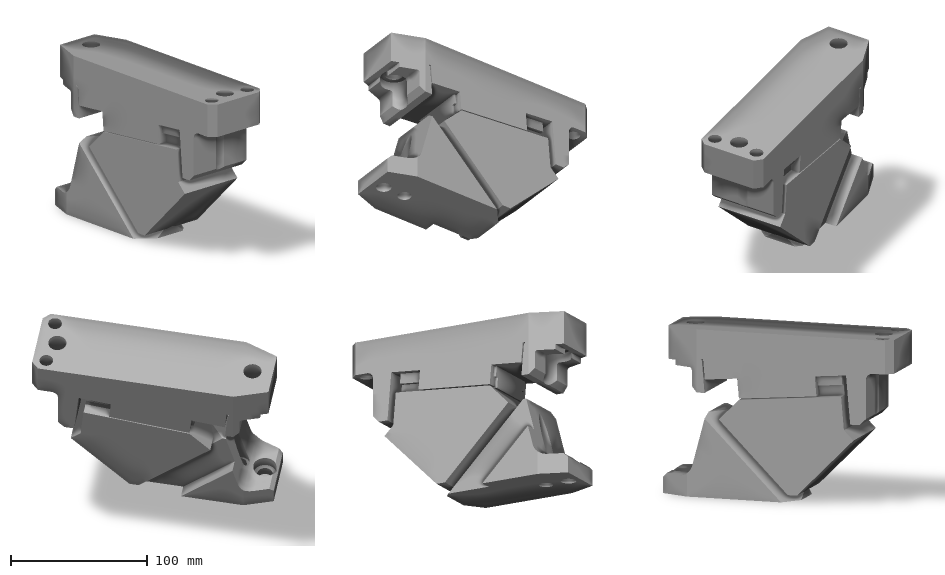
import cadquery as cq
import math


length = 179.0
width = 52.0
height = 125.0
half_width = width / 2
past = 17.9

slide_angle = math.radians(5)
slide_start_x = 34.9
slide_start_z = 87.9

block_front_x = 4.1
block_nose_half = 17.0
block_nose_end_x = 28.6
block_rear_chamfer = 5.2
plate_thickness = 25.0
plate_bottom_z = height - plate_thickness

hook_front_x = 10.0
hook_top_z = 103.0
hook_step_z = 96.0
hook_inner_x = 24.3
hook_bottom_z = 77.9
hook_fillet = 2.0
hook_chamfer = 4.3
slit_gap = 1.0
slit_bevel_width = 1.3
slit_bevel_height = 1.5

pad_start = 25.0
pad_end = 85.0
pad_depth = 14.9
rear_hook_start = 109.2
rear_hook_outer_x = 159.0
rear_hook_bottom_z = 61.0
rear_hook_chamfer = 4.8
rear_hook_fillet = 5.0

nose_hole_x = 19.2
nose_hole_radius = 6.6
nose_recess_radius = 10.2
centre_hole_x = 164.1
centre_hole_radius = 6.6
corner_hole_x = 169.2
corner_hole_y = 17.5
corner_hole_radius = 5.0

tongue_start = 23.3
slider_start = 25.0
slider_end = 104.0
slider_top_depth = 15.8
slider_end_depth = 40.5
slider_lip = 7.3
slider_bottom_z = 5.7
slider_underside_sum = 104.5
neck_half = 18.0
head_half = 21.1
head_height = 7.7
side_clearance = 0.5

base_end_x = 104.7
base_top_x = 35.8
base_top_z = 62.8
base_slope = math.radians(15)
base_nose_half = 18.3
base_nose_end_x = 21.1
foot_height = 15.0
foot_chamfer = 3.0
foot_fillet = 11.3
roof_angle = math.radians(30)
roof_edge_sum = 93.6
notch_width = 9.1
notch_floor_sum = 67.5

foot_hole_x = 9.8
foot_hole_radius = 5.7
foot_recess_radius = 8.6
foot_recess_depth = 8.0
foot_recess_floor_z = foot_height - foot_recess_depth
deep_hole_x = 28.6
deep_hole_radius = 5.2
deep_recess_x = 27.4
deep_recess_radius = 6.0
deep_recess_floor_z = 15.0


def slide_point(along, up):
    """X and Z of a point measured along the slide direction and square to it."""
    x = slide_start_x + along * math.cos(slide_angle) - up * math.sin(slide_angle)
    z = slide_start_z + along * math.sin(slide_angle) + up * math.cos(slide_angle)
    return (x, z)


def slide_wall_point(along, z):
    """Point at height z on the wall square to the slide direction."""
    up = (z - slide_start_z - along * math.sin(slide_angle)) / math.cos(slide_angle)
    return slide_point(along, up)


def extrude_side(profile, depth_half=half_width):
    """Extrude a closed XZ sketch evenly to both sides of the centre plane."""
    return profile.extrude(depth_half, both=True)


def slide_bar(start, end, low, high, bar_half):
    """Bar that follows the slide direction."""
    spots = [(start, low), (end, low), (end, high), (start, high)]
    corners = [slide_point(along, up) for along, up in spots]
    return extrude_side(cq.Workplane("XZ").polyline(corners).close(), bar_half)


def plan_prism(front_x, nose_half, nose_end_x, back_x, back_chamfer=0.0):
    """Upright prism with a tapered nose and, where wanted, chamfered back corners."""
    side = [(front_x, nose_half), (nose_end_x, half_width), (back_x - back_chamfer, half_width)]
    if back_chamfer > 0:
        side.append((back_x, half_width - back_chamfer))
    mirrored = [(x, -y) for x, y in reversed(side)]
    return cq.Workplane("XY").polyline(side + mirrored).close().extrude(height)


def upright_cylinder(x, y, radius, bottom_z, top_z):
    return cq.Workplane("XY", origin=(x, y, bottom_z)).circle(radius).extrude(top_z - bottom_z)


def slope_section():
    """Plane across the 45 degree slope: local X is Y, local Y is the height square to the slope."""
    origin = (-length / 2, 0, length / 2)
    return cq.Workplane(cq.Plane(origin=origin, xDir=(0, 1, 0), normal=(1, 0, -1)))


def slope_height(coordinate_sum):
    return coordinate_sum / math.sqrt(2)


def guide_roof():
    """Everything under the V-shaped guide roof on which the slider rides."""
    reach = half_width + past
    ridge = slope_height(roof_edge_sum) + half_width * math.tan(roof_angle)
    eaves = ridge - reach * math.tan(roof_angle)
    corners = [(-reach, -length), (reach, -length), (reach, eaves), (0, ridge), (-reach, eaves)]
    return slope_section().polyline(corners).close().extrude(2 * length)


def make_upper_block():
    slit_wall_x, slit_wall_z = slide_wall_point(-slit_gap, hook_top_z - slit_bevel_height)
    profile = (
        cq.Workplane("XZ")
        .moveTo(block_front_x, height)
        .lineTo(block_front_x, plate_bottom_z)
        .lineTo(hook_front_x, plate_bottom_z)
        .lineTo(hook_front_x, hook_step_z)
        .lineTo(hook_inner_x - hook_fillet, hook_step_z)
        .tangentArcPoint((hook_inner_x, hook_step_z - hook_fillet), relative=False)
        .lineTo(hook_inner_x, hook_bottom_z + hook_chamfer)
        .lineTo(hook_inner_x + hook_chamfer, hook_bottom_z)
        .lineTo(*slide_wall_point(-slit_gap, hook_bottom_z))
        .lineTo(slit_wall_x, slit_wall_z)
        .lineTo(slit_wall_x - slit_bevel_width, hook_top_z)
        .lineTo(*slide_wall_point(0, hook_top_z))
        .lineTo(*slide_point(0, 0))
        .lineTo(*slide_point(pad_start, 0))
        .lineTo(*slide_point(pad_start, -pad_depth))
        .lineTo(*slide_point(pad_end, -pad_depth))
        .lineTo(*slide_point(pad_end, 0))
        .lineTo(*slide_point(rear_hook_start, 0))
        .lineTo(*slide_wall_point(rear_hook_start, rear_hook_bottom_z))
        .lineTo(rear_hook_outer_x - rear_hook_chamfer, rear_hook_bottom_z)
        .lineTo(rear_hook_outer_x, rear_hook_bottom_z + rear_hook_chamfer)
        .lineTo(rear_hook_outer_x, plate_bottom_z - rear_hook_fillet)
        .tangentArcPoint((rear_hook_outer_x + rear_hook_fillet, plate_bottom_z), relative=False)
        .lineTo(length, plate_bottom_z)
        .lineTo(length, height)
        .close()
    )
    block = extrude_side(profile)
    block = block.intersect(
        plan_prism(block_front_x, block_nose_half, block_nose_end_x, length, block_rear_chamfer)
    )

    slot_neck = slide_bar(pad_start, pad_end, -pad_depth, 0, neck_half + side_clearance)
    slot_head = slide_bar(pad_start, pad_end, -head_height, 0, head_half + side_clearance)
    block = block.cut(slot_neck).cut(slot_head)

    block = block.cut(upright_cylinder(nose_hole_x, 0, nose_hole_radius, 0, height))
    block = block.cut(upright_cylinder(nose_hole_x, 0, nose_recess_radius, 0, hook_top_z))
    block = block.cut(upright_cylinder(centre_hole_x, 0, centre_hole_radius, 0, height))
    for y in (-corner_hole_y, corner_hole_y):
        block = block.cut(upright_cylinder(corner_hole_x, y, corner_hole_radius, 0, height))
    return block


def make_slider():
    top_front = slide_point(slider_start, -slider_top_depth)
    top_back = slide_point(slider_end, -slider_top_depth)
    lip_root = slide_point(slider_end, -slider_end_depth)
    lip_tip = (lip_root[0] + slider_lip, lip_root[1] - slider_lip)
    bottom_back = (lip_tip[0] - (lip_tip[1] - slider_bottom_z), slider_bottom_z)
    bottom_front = (slider_underside_sum - slider_bottom_z, slider_bottom_z)
    front_drop = (sum(top_front) - slider_underside_sum) / 2
    front_tip = (top_front[0] - front_drop, top_front[1] - front_drop)
    outline = [top_front, top_back, lip_root, lip_tip, bottom_back, bottom_front, front_tip]
    slider = extrude_side(cq.Workplane("XZ").polyline(outline).close())
    slider = slider.cut(guide_roof())

    neck = slide_bar(tongue_start, slider_end, -slider_top_depth, 0, neck_half)
    head = slide_bar(tongue_start, slider_end, -head_height, 0, head_half)
    return slider.union(neck).union(head)


def make_base():
    slope_root_x = base_top_x - (base_top_z - foot_height) * math.tan(base_slope)
    tangent = foot_fillet * math.tan((math.pi / 2 - base_slope) / 2)
    fillet_end_x = slope_root_x + tangent * math.sin(base_slope)
    fillet_end_z = foot_height + tangent * math.cos(base_slope)
    profile = (
        cq.Workplane("XZ")
        .moveTo(0, 0)
        .lineTo(0, foot_height - foot_chamfer)
        .lineTo(foot_chamfer, foot_height)
        .lineTo(slope_root_x - tangent, foot_height)
        .tangentArcPoint((fillet_end_x, fillet_end_z), relative=False)
        .lineTo(base_top_x, base_top_z)
        .lineTo(base_end_x, base_top_z)
        .lineTo(base_end_x, 0)
        .close()
    )
    base = extrude_side(profile)
    base = base.intersect(plan_prism(0, base_nose_half, base_nose_end_x, base_end_x))
    base = base.intersect(guide_roof())

    notch_corner = (half_width - notch_width, slope_height(notch_floor_sum))
    notch = slope_section().moveTo(*notch_corner).rect(notch_width + past, length, centered=False)
    base = base.cut(notch.extrude(2 * length))

    base = base.cut(upright_cylinder(foot_hole_x, 0, foot_hole_radius, 0, height))
    base = base.cut(upright_cylinder(foot_hole_x, 0, foot_recess_radius, foot_recess_floor_z, height))

    base = base.cut(upright_cylinder(deep_hole_x, 0, deep_hole_radius, 0, height))
    base = base.cut(upright_cylinder(deep_recess_x, 0, deep_recess_radius, deep_recess_floor_z, height))
    return base


upper_block = make_upper_block()
slider = make_slider()
base = make_base()
result = cq.Compound.makeCompound([upper_block.solids().val(), slider.solids().val(), base.solids().val()])